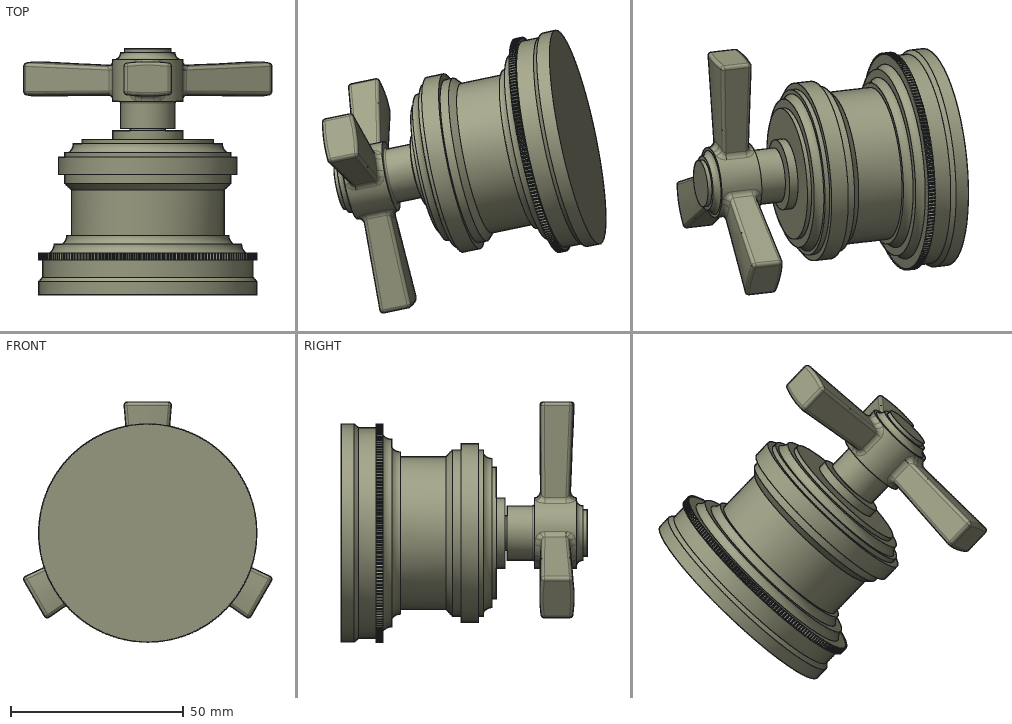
import cadquery as cq
import math

Y_AXIS = ((0, 0, 0), (0, 1, 0))

BASE_END = 3.81
BASE_BEVEL_END = 5.08
KNURL_START = 10.16
KNURL_END = 12.19
LOWER_COVE_END = 14.73
UPPER_COVE_END = 17.27
COLUMN_END = 30.48
FLARE_END = 32.39
BAND_START = 34.9
BAND_END = 39.98
RIM_END = 41.4
SHOULDER_COVE_END = 43.9
PLATE_END = 45.15
COLLAR_END = 47.7
GAP_END = 48.26
HUB_START = 56.2
HUB_END = 68.4
CAP_COVE_END = 70.36
TOTAL_LENGTH = 71.58

BASE_RADIUS = 31.75
DRUM_RADIUS = 30.65
LOWER_COVE_RADII = (28.5, 27.3)
UPPER_COVE_RADII = (24.9, 23.6)
COLUMN_RADIUS = 22.25
RIM_RADIUS = 24.2
BAND_RADIUS = 26.0
SHOULDER_COVE_RADII = (23.0, 21.7)
PLATE_RADIUS = 19.15
HUB_RADIUS = 10.25
COLLAR_RADIUS = HUB_RADIUS
GAP_RADIUS = 5.1
STEM_RADIUS = 7.94
STEM_FILLET = 0.5
CAP_COVE_RADII = (9.35, 7.94)
CAP_RADIUS = 6.8

TOOTH_COUNT = 180
TOOTH_DEPTH = 0.4
TOOTH_CREST_SHARE = 0.3

ARM_COUNT = 3
ARM_ROOT = 6.0
ARM_TIP = 38.1
ARM_ROOT_WIDTH = 8.6
ARM_TIP_WIDTH = 13.95
ARM_ROOT_SPAN = (57.95, 66.45)
ARM_TIP_SPAN = (57.7, 67.8)
ARM_BULGE = 0.5
ARM_EDGE_FILLET = 1.0
ARM_ROOT_FILLET = 1.8
FOOT_TOLERANCE = 0.01


def add_cove(profile, radii, start, end):
    """Add a hollow arc that leaves along the axis at its narrow end."""
    wide, narrow = radii
    drop = wide - narrow
    length = end - start
    arc_radius = (drop**2 + length**2) / (2 * drop)
    half_sweep = math.asin(length / arc_radius) / 2
    middle = (
        narrow + arc_radius * (1 - math.cos(half_sweep)),
        end - arc_radius * math.sin(half_sweep),
    )
    return profile.lineTo(wide, start).threePointArc(middle, (narrow, end))


def make_body():
    """Turn the stepped body about the Y axis."""
    profile = (
        cq.Workplane("XY")
        .moveTo(0, 0)
        .lineTo(BASE_RADIUS, 0)
        .lineTo(BASE_RADIUS, BASE_END)
        .lineTo(DRUM_RADIUS, BASE_BEVEL_END)
        .lineTo(DRUM_RADIUS, KNURL_END)
    )
    profile = add_cove(profile, LOWER_COVE_RADII, KNURL_END, LOWER_COVE_END)
    profile = add_cove(profile, UPPER_COVE_RADII, LOWER_COVE_END, UPPER_COVE_END)
    profile = (
        profile.lineTo(COLUMN_RADIUS, UPPER_COVE_END)
        .lineTo(COLUMN_RADIUS, COLUMN_END)
        .lineTo(RIM_RADIUS, FLARE_END)
        .lineTo(RIM_RADIUS, BAND_START)
        .lineTo(BAND_RADIUS, BAND_START)
        .lineTo(BAND_RADIUS, BAND_END)
        .lineTo(RIM_RADIUS, BAND_END)
        .lineTo(RIM_RADIUS, RIM_END)
    )
    profile = add_cove(profile, SHOULDER_COVE_RADII, RIM_END, SHOULDER_COVE_END)
    profile = (
        profile.lineTo(PLATE_RADIUS, SHOULDER_COVE_END)
        .lineTo(PLATE_RADIUS, PLATE_END)
        .lineTo(COLLAR_RADIUS, PLATE_END)
        .lineTo(COLLAR_RADIUS, COLLAR_END)
        .lineTo(GAP_RADIUS, COLLAR_END)
        .lineTo(GAP_RADIUS, GAP_END)
        .lineTo(STEM_RADIUS, GAP_END)
        .lineTo(STEM_RADIUS, HUB_START - STEM_FILLET)
        .tangentArcPoint((STEM_RADIUS + STEM_FILLET, HUB_START), relative=False)
        .lineTo(HUB_RADIUS, HUB_START)
        .lineTo(HUB_RADIUS, HUB_END)
    )
    profile = add_cove(profile, CAP_COVE_RADII, HUB_END, CAP_COVE_END)
    profile = (
        profile.lineTo(CAP_RADIUS, CAP_COVE_END)
        .lineTo(CAP_RADIUS, TOTAL_LENGTH)
        .lineTo(0, TOTAL_LENGTH)
        .close()
    )
    return profile.revolve(360, *Y_AXIS)


def polar_point(radius, angle):
    """Cartesian point at a radius and angle."""
    return (radius * math.cos(angle), radius * math.sin(angle))


def make_knurl():
    """Ring of flat-topped teeth parted by V-grooves around the drum."""
    pitch = 2 * math.pi / TOOTH_COUNT
    half_crest = TOOTH_CREST_SHARE * pitch / 2
    points = []
    for index in range(TOOTH_COUNT):
        angle = index * pitch
        points.append(polar_point(BASE_RADIUS, angle - half_crest))
        points.append(polar_point(BASE_RADIUS, angle + half_crest))
        points.append(polar_point(BASE_RADIUS - TOOTH_DEPTH, angle + pitch / 2))
    return (
        cq.Workplane("XZ", origin=(0, KNURL_START, 0))
        .polyline(points)
        .close()
        .extrude(KNURL_START - KNURL_END)
    )


def arm_section(plane, width, span):
    """Cross-section of an arm: straight sides, crowned front and back."""
    front, back = span
    half = width / 2
    return (
        plane.moveTo(-half, front + ARM_BULGE)
        .threePointArc((0, front), (half, front + ARM_BULGE))
        .lineTo(half, back - ARM_BULGE)
        .threePointArc((0, back), (-half, back - ARM_BULGE))
        .close()
    )


def reaches_above_root(edge):
    """True for every arm edge except those of the root section."""
    return edge.Center().z > ARM_ROOT + ARM_EDGE_FILLET


def make_arm():
    """One upright arm with rounded edges."""
    root = arm_section(cq.Workplane("XY", origin=(0, 0, ARM_ROOT)), ARM_ROOT_WIDTH, ARM_ROOT_SPAN)
    sections = arm_section(root.workplane(offset=ARM_TIP - ARM_ROOT), ARM_TIP_WIDTH, ARM_TIP_SPAN)
    arm = sections.loft(ruled=True)
    return arm.edges().filter(reaches_above_root).fillet(ARM_EDGE_FILLET)


def is_arm_foot(edge):
    """True for the edges where an arm meets the hub surface."""
    return all(
        HUB_START < vertex.Y < HUB_END and abs(math.hypot(vertex.X, vertex.Z) - HUB_RADIUS) < FOOT_TOLERANCE
        for vertex in edge.Vertices()
    )


def make_handle():
    """Hub with the arms spaced evenly around it and blended into it."""
    handle = (
        cq.Workplane("XZ", origin=(0, HUB_START, 0))
        .circle(HUB_RADIUS)
        .extrude(HUB_START - HUB_END)
    )
    arm = make_arm()
    for index in range(ARM_COUNT):
        turn = 360 * index / ARM_COUNT
        handle = handle.union(arm.rotate(*Y_AXIS, turn))
    return handle.edges().filter(is_arm_foot).fillet(ARM_ROOT_FILLET)


result = make_body().union(make_knurl()).union(make_handle())